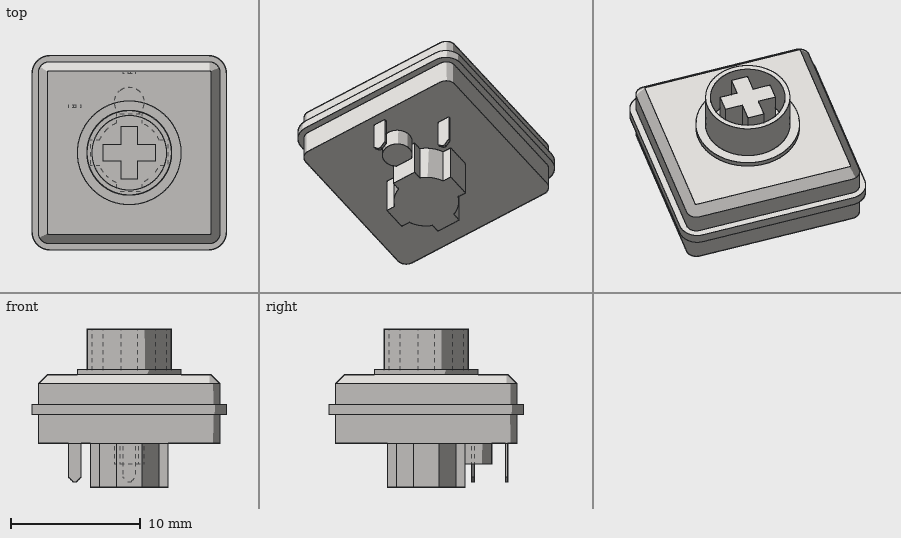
import cadquery as cq


body_side = 14.0
body_corner_radius = 0.8
body_height = 5.3
body_chamfer = 0.7
flange_side = 15.0
flange_corner_radius = 1.4
flange_bottom = 2.2
flange_thickness = 0.8

collar_diameter = 8.0
collar_bore_diameter = 6.55
collar_height = 0.4
stem_diameter = 6.5
stem_bore_diameter = 5.75
stem_height = 3.5
stem_cross_length = 4.05
stem_cross_width = 1.3

post_diameter = 5.0
post_rib_length = 6.0
post_rib_width = 2.0
post_height = 3.4

boss_diameter = 2.3
boss_center = (0.0, 3.9)
boss_height = 1.6

pin_width = 1.0
pin_thickness = 0.2
pin_length = 3.0
pin_tip_width = 0.2
pin_taper_length = 0.4
pin_centers = [(-4.2, 3.6), (0.0, 6.2)]


def rounded_plate(side, corner_radius, bottom, thickness):
    """Square plate centred on the Z axis with rounded vertical corners."""
    plate = cq.Workplane("XY").workplane(offset=bottom).rect(side, side).extrude(thickness)
    return plate.edges("|Z").fillet(corner_radius)


def cross_prism(length, width, bottom, height):
    """Plus-shaped prism centred on the Z axis."""
    plane = cq.Workplane("XY").workplane(offset=bottom)
    along_x = plane.rect(length, width).extrude(height)
    along_y = plane.rect(width, length).extrude(height)
    return along_x.union(along_y)


def ring(outer_diameter, inner_diameter, bottom, height):
    """Round tube on the Z axis."""
    plane = cq.Workplane("XY").workplane(offset=bottom)
    return plane.circle(outer_diameter / 2).circle(inner_diameter / 2).extrude(height)


def make_housing():
    body = rounded_plate(body_side, body_corner_radius, 0, body_height)
    body = body.faces(">Z").chamfer(body_chamfer)
    flange = rounded_plate(flange_side, flange_corner_radius, flange_bottom, flange_thickness)
    return body.union(flange)


def make_stem():
    """Cup-shaped stem with a cross inside, ringed by a collar with a narrow gap."""
    collar = ring(collar_diameter, collar_bore_diameter, body_height, collar_height)
    cup = ring(stem_diameter, stem_bore_diameter, body_height, stem_height)
    cross = cross_prism(stem_cross_length, stem_cross_width, body_height, stem_height)
    return collar, cup, cross


def make_post():
    core = cq.Workplane("XY").circle(post_diameter / 2).extrude(-post_height)
    ribs = cross_prism(post_rib_length, post_rib_width, -post_height, post_height)
    return core.union(ribs)


def make_boss():
    return cq.Workplane("XY").center(*boss_center).circle(boss_diameter / 2).extrude(-boss_height)


def make_pin(center):
    """Flat pin hanging from the housing, its broad faces square to Y."""
    center_x, center_y = center
    profile = [
        (-pin_width / 2, 0),
        (-pin_width / 2, pin_taper_length - pin_length),
        (-pin_tip_width / 2, -pin_length),
        (pin_tip_width / 2, -pin_length),
        (pin_width / 2, pin_taper_length - pin_length),
        (pin_width / 2, 0),
    ]
    pin = cq.Workplane("XZ").polyline(profile).close().extrude(pin_thickness / 2, both=True)
    return pin.translate((center_x, center_y, 0))


result = make_housing()
for stem_part in make_stem():
    result = result.union(stem_part)
result = result.union(make_post())
result = result.union(make_boss())
for pin_center in pin_centers:
    result = result.union(make_pin(pin_center))